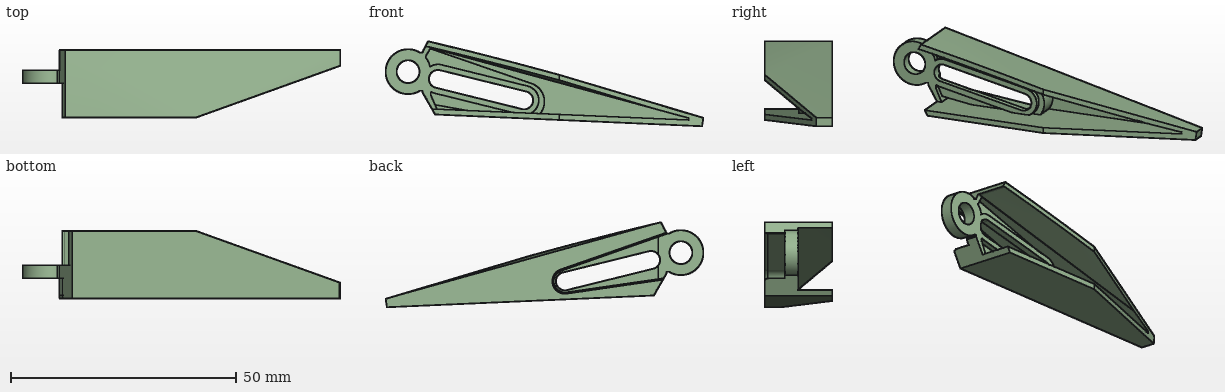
import cadquery as cq
import math

depth = 15.0
web_front = 7.6
ring_back = 10.5
fan_front = 9.0
channel_front = 9.4
skin = 0.7
skin_front = depth - skin

ring_radius = 5.0
ring_hole_diameter = 5.0
ring_x, ring_z = ring_radius, 12.1
neck_half_height = 4.2
neck_end = 8.9
end_wall_back = 10.0

end_x, end_top, end_bottom = 8.2, 16.5, 7.55
crest, crown_middle, nose = (9.45, 18.9), (38.6, 11.4), (70.5, 1.9)
nose_bottom, keel = (70.2, 0), (11.0, 2.6)

tip_top, tip_bottom = (67.25, 1.8), (67.25, 1.4)
roof_start, roof_middle = (9.3, 17.7), (38.6, 10.2)
floor_start_x, floor_start_z = 11.4, 3.8
floor_slope = (tip_bottom[1] - floor_start_z) / (tip_bottom[0] - floor_start_x)
floor_left_z = floor_start_z - floor_slope * floor_start_x

slot_left = (11.6, 10.5)
slot_right = (30.7, 5.8)
slot_radius = 2.0
rim_radius = 3.25
fan_center = (31.0, 5.5)
fan_radius = 4.2
channel_radius = 2.5
flare = 0.32
fan_top, fan_bottom = (end_x, 17.8), (end_x, 5.3)
channel_top, channel_bottom = (end_x, 16.3), (end_x, 6.55)

deep_cavity = [
    (end_wall_back, 17.4), tip_top, tip_bottom, (floor_start_x, floor_start_z),
    (end_wall_back, 7.0), (end_wall_back, 7.4), slot_left, (9.65, 13.45), (8.75, 15.2),
]

knee_x = 38.5
tip_front = 11.5


def plane_at(y):
    """XZ sketch plane at the given Y, extruding toward +Y."""
    return cq.Workplane(cq.Plane((0, y, 0), (1, 0, 0), (0, 1, 0)))


def sketch_points(points):
    """Turn XZ points into local points; the sketch's second axis is -Z."""
    return [(x, -z) for x, z in points]


def prism(points, front, back):
    return plane_at(front).polyline(sketch_points(points)).close().extrude(back - front)


def disc(center, radius, front, back):
    return plane_at(front).center(center[0], -center[1]).circle(radius).extrude(back - front)


def slot(radius, front, back):
    """Round-ended bar between the two slot centres."""
    dx = slot_right[0] - slot_left[0]
    dz = slot_right[1] - slot_left[1]
    length = math.hypot(dx, dz)
    nx, nz = -dz / length * radius, dx / length * radius
    sides = [
        (slot_left[0] + nx, slot_left[1] + nz), (slot_right[0] + nx, slot_right[1] + nz),
        (slot_right[0] - nx, slot_right[1] - nz), (slot_left[0] - nx, slot_left[1] - nz),
    ]
    bar = prism(sides, front, back)
    for center in (slot_left, slot_right):
        bar = bar.union(disc(center, radius, front, back))
    return bar


def tangent_point(point, center, radius, side):
    """Touching point of a line from point to a circle; side 1 is upper."""
    cx, cz = center
    dx, dz = point[0] - cx, point[1] - cz
    angle = math.atan2(dz, dx) - side * math.acos(radius / math.hypot(dx, dz))
    return cx + radius * math.cos(angle), cz + radius * math.sin(angle)


def fan_sketch(top, bottom, center, radius, y):
    """Two straight sides running tangent into a round right end."""
    upper = tangent_point(top, center, radius, 1)
    lower = tangent_point(bottom, center, radius, -1)
    rightmost = (center[0] + radius, center[1])
    start, a, middle, b, end = sketch_points([top, upper, rightmost, lower, bottom])
    return plane_at(y).moveTo(*start).lineTo(*a).threePointArc(middle, b).lineTo(*end).close()


def make_channel():
    """Rear channel, stopped by the end wall beside the neck and flaring out through the back wall."""
    straight = fan_sketch(channel_top, channel_bottom, slot_right, channel_radius, channel_front)
    straight = straight.extrude(skin_front - channel_front)
    end_wall = prism(
        [(0, 0), (0, end_top), (end_wall_back, end_top), (end_wall_back, 0)], channel_front, ring_back
    )
    straight = straight.cut(end_wall)
    inner = fan_sketch(channel_top, channel_bottom, slot_right, channel_radius, skin_front).wires().val()
    wide_top = (channel_top[0], channel_top[1] + flare)
    wide_bottom = (channel_bottom[0], channel_bottom[1] - flare)
    wide_radius = channel_radius + flare
    outer = fan_sketch(wide_top, wide_bottom, slot_right, wide_radius, depth).wires().val()
    return straight.union(cq.Workplane(cq.Solid.makeLoft([inner, outer], True)))


def make_ring():
    neck_top = ring_z + neck_half_height
    neck_bottom = ring_z - neck_half_height
    neck = prism(
        [(ring_x, neck_bottom), (ring_x, neck_top), (neck_end, neck_top), (neck_end, neck_bottom)],
        web_front, ring_back,
    )
    return disc((ring_x, ring_z), ring_radius, web_front, ring_back).union(neck)


def crowned_loft(before, middle, after, back):
    """Loft from an outline with a crowned top at Y 0 to one with a straight top at back.

    The crown joins the last point of before to the first point of after.
    """
    wires = []
    for y, crowned in ((0, True), (back, False)):
        start, *rest = sketch_points(before)
        tip, *lower = sketch_points(after)
        outline = plane_at(y).moveTo(*start)
        for point in rest:
            outline = outline.lineTo(*point)
        if crowned:
            outline = outline.threePointArc(sketch_points([middle])[0], tip)
        else:
            outline = outline.lineTo(*tip)
        for point in lower:
            outline = outline.lineTo(*point)
        wires.append(outline.close().wires().val())
    return cq.Workplane(cq.Solid.makeLoft(wires, True))


neck_top_corner, neck_bottom_corner = (end_x, end_top), (end_x, end_bottom)
wedge = crowned_loft(
    [neck_top_corner, crest], crown_middle, [nose, nose_bottom, keel, neck_bottom_corner], depth
)
front_cavity = crowned_loft(
    [(0, roof_start[1]), roof_start], roof_middle, [tip_top, tip_bottom, (0, floor_left_z)], web_front
)
body = wedge.cut(front_cavity)
body = body.cut(prism(deep_cavity, web_front, skin_front))

fan = fan_sketch(fan_top, fan_bottom, fan_center, fan_radius, fan_front).extrude(depth - fan_front)
rim = slot(rim_radius, web_front, depth)
body = body.union(fan.union(rim).intersect(wedge))

body = body.union(make_ring())
body = body.cut(make_channel())
body = body.cut(slot(slot_radius, web_front, depth))
body = body.cut(disc((ring_x, ring_z), ring_hole_diameter / 2, web_front, ring_back))

corner = cq.Workplane("XY").polyline([(knee_x, 0), (70.5, tip_front), (70.5, 0)]).close().extrude(end_top)
result = body.cut(corner)